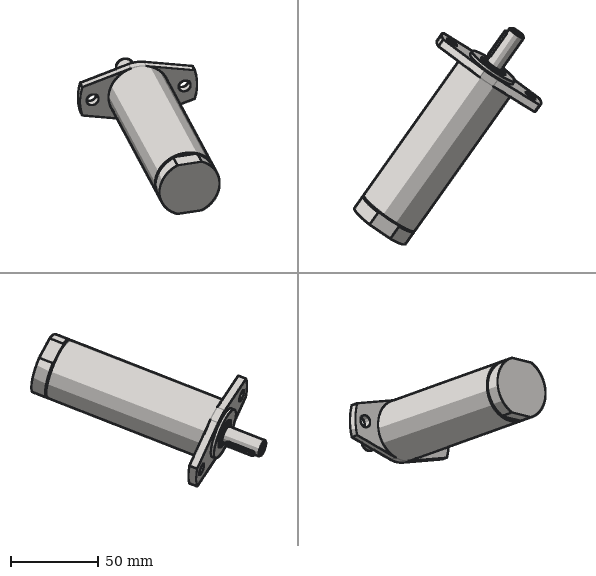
import cadquery as cq
import math

overall_length = 138.5
collar_face_x = 23.7
pilot_face_x = 24.2
flange_face_x = 26.3
joint_x = 129.4

body_diameter = 36.0
joint_chamfer = 0.4
cap_flat_spacing = 33.0

flange_thickness = 5.0
flange_width = 70.0
flange_edge_angle = math.radians(15)
mounting_hole_diameter = 7.0
mounting_hole_spacing = 55.0

pilot_diameter = 30.0
recess_mouth_diameter = 17.0
recess_mouth_depth = 0.3
recess_diameter = 15.5
recess_depth = 0.8
ridge_diameter = 13.6
ridge_width = 1.0
collar_diameter = 11.9
collar_face_diameter = 11.5

shaft_diameter = 10.0
shaft_chamfer = 0.8
center_hole_diameter = 3.2
center_hole_mouth_diameter = 5.0
center_hole_depth = 6.9
drill_point_angle = math.radians(118)
key_start_x = 3.2
key_length = 17.7
key_width = 3.0
key_top_y = 6.2


def cylinder(diameter, start_x, end_x):
    """Solid cylinder on the X axis."""
    return cq.Workplane("YZ", origin=(start_x, 0, 0)).circle(diameter / 2).extrude(end_x - start_x)


def cone(start_diameter, end_diameter, start_x, length):
    """Solid cone or frustum on the X axis; either diameter may be zero."""
    direction = cq.Vector(1, 0, 0)
    start = cq.Vector(start_x, 0, 0)
    return cq.Workplane(cq.Solid.makeCone(start_diameter / 2, end_diameter / 2, length, start, direction))


def make_body():
    """Round body, chamfered where it meets the cap."""
    return cylinder(body_diameter, flange_face_x, joint_x).faces(">X").chamfer(joint_chamfer)


def make_cap():
    """End cap with a chamfered front edge and wrench flats on top and bottom."""
    cap = cylinder(body_diameter, joint_x, overall_length).faces("<X").chamfer(joint_chamfer)
    flats = cq.Workplane("XY").box(2 * overall_length, body_diameter, cap_flat_spacing)
    return cap.intersect(flats)


def make_flange():
    """Two-hole flange: straight edges tangent to the body, ends rounded about the axis."""
    body_radius = body_diameter / 2
    end_radius = flange_width / 2
    tangent_y = body_radius * math.sin(flange_edge_angle)
    tangent_z = body_radius * math.cos(flange_edge_angle)
    corner_angle = math.pi / 2 - flange_edge_angle - math.acos(body_radius / end_radius)
    corner_y = end_radius * math.cos(corner_angle)
    corner_z = end_radius * math.sin(corner_angle)
    return (
        cq.Workplane("YZ", origin=(flange_face_x, 0, 0))
        .moveTo(-tangent_y, tangent_z)
        .threePointArc((0, body_radius), (tangent_y, tangent_z))
        .lineTo(corner_y, corner_z)
        .threePointArc((end_radius, 0), (corner_y, -corner_z))
        .lineTo(tangent_y, -tangent_z)
        .threePointArc((0, -body_radius), (-tangent_y, -tangent_z))
        .lineTo(-corner_y, -corner_z)
        .threePointArc((-end_radius, 0), (-corner_y, corner_z))
        .close()
        .extrude(flange_thickness)
    )


def make_mounting_holes():
    """Cutters for the two through holes in the flange."""
    return (
        cq.Workplane("YZ", origin=(flange_face_x, 0, 0))
        .pushPoints([(-mounting_hole_spacing / 2, 0), (mounting_hole_spacing / 2, 0)])
        .circle(mounting_hole_diameter / 2)
        .extrude(flange_thickness)
    )


def make_recess():
    """Cutter for the stepped recess in the pilot face, leaving the ridge on its floor."""
    mouth_radius = recess_mouth_diameter / 2
    wall_radius = recess_diameter / 2
    ridge_radius = ridge_diameter / 2
    ridge_height = ridge_width / 2
    step_x = pilot_face_x + recess_mouth_depth
    floor_x = pilot_face_x + recess_depth
    floor_radius = wall_radius - (floor_x - step_x)
    return (
        cq.Workplane("XY")
        .moveTo(pilot_face_x, 0)
        .lineTo(pilot_face_x, mouth_radius)
        .lineTo(step_x, mouth_radius)
        .lineTo(step_x, wall_radius)
        .lineTo(floor_x, floor_radius)
        .lineTo(floor_x, ridge_radius + ridge_height)
        .threePointArc((floor_x - ridge_height, ridge_radius), (floor_x, ridge_radius - ridge_height))
        .lineTo(floor_x, 0)
        .close()
        .revolve(360, (0, 0, 0), (1, 0, 0))
    )


def make_shaft():
    """Chamfered shaft with a collar that rises from the recess floor and tapers beyond the pilot face."""
    recess_floor_x = pilot_face_x + recess_depth
    shaft = cylinder(shaft_diameter, 0, recess_floor_x).faces("<X").chamfer(shaft_chamfer)
    taper_length = pilot_face_x - collar_face_x
    collar_taper = cone(collar_face_diameter, collar_diameter, collar_face_x, taper_length)
    collar = cylinder(collar_diameter, pilot_face_x, recess_floor_x).union(collar_taper)
    return shaft.union(collar)


def make_key():
    """Round-ended key on the +Y side of the shaft."""
    return (
        cq.Workplane("XZ", origin=(key_start_x + key_length / 2, 0, 0))
        .slot2D(key_length, key_width)
        .extrude(-key_top_y)
    )


def make_center_hole():
    """Cutter for the centre hole, with a 45 degree mouth and a drill point."""
    mouth_depth = (center_hole_mouth_diameter - center_hole_diameter) / 2
    point_length = center_hole_diameter / 2 / math.tan(drill_point_angle / 2)
    return (
        cylinder(center_hole_diameter, 0, center_hole_depth)
        .union(cone(center_hole_mouth_diameter, center_hole_diameter, 0, mouth_depth))
        .union(cone(center_hole_diameter, 0, center_hole_depth, point_length))
    )


housing = make_body().union(make_cap()).union(make_flange()).cut(make_mounting_holes())
housing = housing.union(cylinder(pilot_diameter, pilot_face_x, flange_face_x)).cut(make_recess())
shaft_and_key = make_shaft().union(make_key()).cut(make_center_hole())
result = housing.union(shaft_and_key)